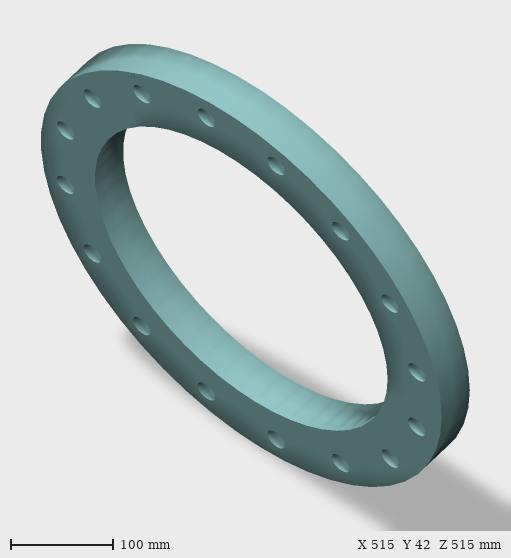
import cadquery as cq

outer_diameter = 515.0
bore_diameter = 376.0
thickness = 42.0

bolt_circle_diameter = 460.0
bolt_hole_diameter = 22.5
bolt_hole_count = 16
bolt_spacing_angle = 360 / bolt_hole_count
first_bolt_angle = bolt_spacing_angle / 2

ring = (
    cq.Workplane("XZ")
    .circle(outer_diameter / 2)
    .circle(bore_diameter / 2)
    .extrude(thickness)
)

bolt_holes = (
    cq.Workplane("XZ")
    .polarArray(bolt_circle_diameter / 2, first_bolt_angle, 360, bolt_hole_count)
    .circle(bolt_hole_diameter / 2)
    .extrude(thickness)
)

result = ring.cut(bolt_holes)